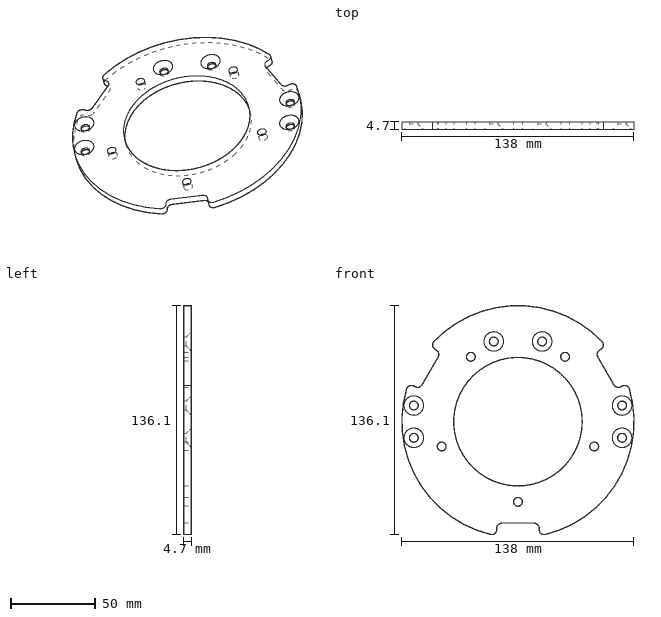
import cadquery as cq

outer_diameter = 138.0
bore_diameter = 76.2
thickness = 4.7

notch_count = 3
notch_width = 25.1
notch_floor_radius = 60.3
notch_corner_radius = 3.0

hole_diameter = 5.1
plain_hole_count = 5
plain_hole_circle_radius = 47.6

countersink_diameter = 11.6
countersink_angle = 90.0
pair_spacing_top = 28.7
pair_height_top = 47.6
pair_spacing_side = 19.2
pair_offset_side = 61.8

BOTTOM_ANGLE = -90.0


def make_ring():
    """Flat ring with its front face on the -Y side."""
    return (
        cq.Workplane("XZ", origin=(0, thickness / 2, 0))
        .circle(outer_diameter / 2)
        .circle(bore_diameter / 2)
        .extrude(thickness)
    )


def cut_notches(plate):
    """Cut the flat-bottomed edge notches and round their corners."""
    outer_radius = outer_diameter / 2
    cutter_depth = 2 * (outer_radius - notch_floor_radius)
    cutter = cq.Workplane("XY").box(notch_width, 2 * thickness, cutter_depth)
    cutter = cutter.translate((0, 0, -notch_floor_radius - cutter_depth / 2))
    for index in range(notch_count):
        turn = index * 360 / notch_count
        plate = plate.cut(cutter.rotate((0, 0, 0), (0, 1, 0), turn))
    at_seam = cq.selectors.BoxSelector(
        (0, -thickness, -1.4), (outer_diameter, thickness, 1.4)
    )
    corners = cq.selectors.ParallelDirSelector(cq.Vector(0, 1, 0)) - at_seam
    return plate.edges(corners).fillet(notch_corner_radius)


def drill_plain_holes(plate):
    """Drill the bolt circle, starting from the hole at the bottom."""
    drills = (
        cq.Workplane("XZ", origin=(0, thickness / 2, 0))
        .polarArray(plain_hole_circle_radius, BOTTOM_ANGLE, 360, plain_hole_count)
        .circle(hole_diameter / 2)
        .extrude(thickness)
    )
    return plate.cut(drills)


def drill_countersunk_holes(plate):
    """Drill the three hole pairs, countersunk from the front face."""
    centres = []
    for side in (-1, 1):
        centres.append((side * pair_spacing_top / 2, pair_height_top))
        for end in (-1, 1):
            centres.append((side * pair_offset_side, end * pair_spacing_side / 2))
    return (
        plate.copyWorkplane(cq.Workplane("XZ", origin=(0, -thickness / 2, 0)))
        .pushPoints(centres)
        .cskHole(hole_diameter, countersink_diameter, countersink_angle)
    )


result = make_ring()
result = cut_notches(result)
result = drill_plain_holes(result)
result = drill_countersunk_holes(result)